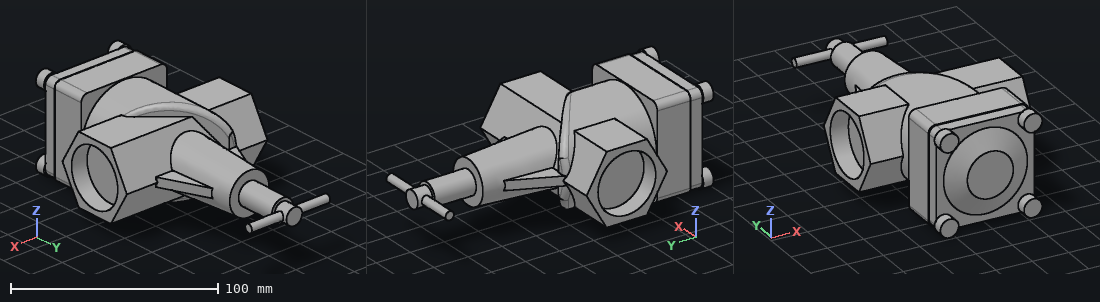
import cadquery as cq
import math

total_length = 158.0
dome_end_y = 1.1
cover_y = 6.0
flange_y = 13.1
body_y = 32.9
pipe_axis_y = 62.9
neck_end_y = 125.0
spindle_shoulder_y = 149.3
handle_y = 153.1

cover_width = 54.0
flange_width = 55.0
plate_corner_radius = 4.0
bolt_diameter = 10.1
bolt_spacing = 46.0
dome_base_radius = 23.0
dome_end_radius = 12.6

body_radius = 27.0
slope_axis_y = 68.9
slope_angle = 40.0
body_end_y = 86.3
rim_fillet = 3.0

pipe_length = 90.0
hex_across_flats = 41.1
hex_across_corners = hex_across_flats / math.cos(math.radians(30))
bore_diameter = 34.0
bore_depth = 10.0

neck_length = neck_end_y - pipe_axis_y
neck_end_radius = 12.6
neck_taper_angle = 3.5
neck_taper = math.tan(math.radians(neck_taper_angle))
neck_root_radius = neck_end_radius + neck_length * neck_taper
spindle_radius = 7.0
tip_radius = 5.0
handle_length = 50.1
handle_diameter = 5.0

rib_thickness = 5.4
rib_base_y = 85.6
rib_half_span = 25.8
rib_top_half_span = 13.0
rib_top_y = 113.5


def square_plate(width, start_y, end_y):
    plate = cq.Workplane("XY").box(width, end_y - start_y, width, centered=(True, False, True))
    return plate.translate((0, start_y, 0)).edges("|Y").fillet(plate_corner_radius)


def turned(profile):
    """Revolve an (x, y) half outline about the valve axis."""
    return cq.Workplane("XY").polyline(profile).close().revolve(360, (0, 0), (0, 1))


def make_body():
    rise = body_radius * math.tan(math.radians(slope_angle))
    side_view = (
        cq.Workplane("XY")
        .polyline([
            (-body_radius, body_y),
            (body_radius, body_y),
            (body_radius, slope_axis_y - rise),
            (-body_radius, slope_axis_y + rise),
        ])
        .close()
        .extrude(body_radius, both=True)
    )
    cylinder = turned([
        (0, body_y),
        (body_radius, body_y),
        (body_radius, body_end_y),
        (0, body_end_y),
    ])
    sloped_body = cylinder.intersect(side_view)
    rim = sloped_body.edges("(%ELLIPSE or %CIRCLE) and (not <Y)")
    return rim.fillet(rim_fillet)


def make_cover():
    cover = square_plate(cover_width, cover_y, flange_y)
    flange = square_plate(flange_width, flange_y, body_y)
    dome = turned([
        (0, dome_end_y),
        (dome_end_radius, dome_end_y),
        (dome_base_radius, cover_y),
        (0, cover_y),
    ])
    bolts = (
        cq.Workplane("XZ")
        .rect(bolt_spacing, bolt_spacing, forConstruction=True)
        .vertices()
        .circle(bolt_diameter / 2)
        .extrude(-cover_y)
    )
    return cover.union(flange).union(dome).union(bolts)


def make_pipe():
    return (
        cq.Workplane("YZ", origin=(-pipe_length / 2, pipe_axis_y, 0))
        .polygon(6, hex_across_corners)
        .extrude(pipe_length)
    )


def make_bores():
    start = pipe_length / 2 - bore_depth
    bore = (
        cq.Workplane("YZ", origin=(start, pipe_axis_y, 0))
        .circle(bore_diameter / 2)
        .extrude(bore_depth)
    )
    return bore.union(bore.mirror("YZ"))


def make_neck_and_spindle():
    return turned([
        (0, pipe_axis_y),
        (neck_root_radius, pipe_axis_y),
        (neck_end_radius, neck_end_y),
        (spindle_radius, neck_end_y),
        (spindle_radius, spindle_shoulder_y),
        (tip_radius, spindle_shoulder_y),
        (tip_radius, total_length),
        (0, total_length),
    ])


def make_ribs():
    return (
        cq.Workplane("XY")
        .polyline([
            (-rib_half_span, rib_base_y),
            (rib_half_span, rib_base_y),
            (rib_top_half_span, rib_top_y),
            (-rib_top_half_span, rib_top_y),
        ])
        .close()
        .extrude(rib_thickness / 2, both=True)
    )


def make_handle():
    return (
        cq.Workplane("YZ", origin=(-handle_length / 2, handle_y, 0))
        .circle(handle_diameter / 2)
        .extrude(handle_length)
    )


result = (
    make_body()
    .union(make_cover())
    .union(make_pipe())
    .union(make_neck_and_spindle())
    .union(make_ribs())
    .union(make_handle())
    .cut(make_bores())
)